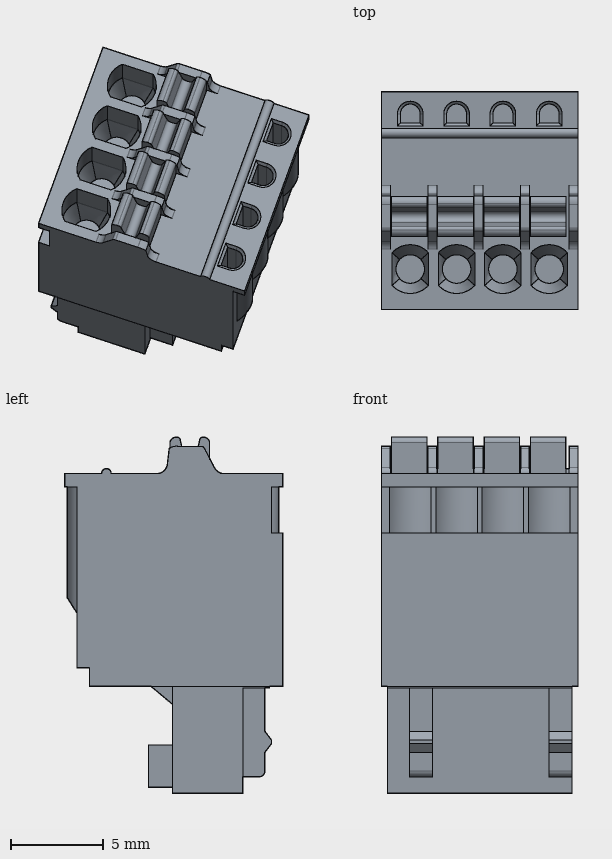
import cadquery as cq
import math


POLES = 4
PITCH = 2.5
POLE_X = [PITCH * (i - (POLES - 1) / 2) for i in range(POLES)]
RIB_SHIFT = -0.05

WIDTH = 10.6
DEPTH = 11.75
HEIGHT = 19.2
BODY_BOTTOM = 5.76
BODY_TOP = 17.25
FLANGE_BOTTOM = 16.51
BODY_BACK = 11.1
STEP_BACK = 10.43
STEP_TOP = 6.75

RECESS_BOTTOM = 14.04
RECESS_DEPTH = 0.61
BARREL_FRONT = 0.21
BARREL_CHORD = 2.23

REAR_BARREL_BACK = 11.62
REAR_BARREL_CHORD = 1.85
REAR_BARREL_BOTTOM = 9.72
REAR_BARREL_SLOPE_TOP = 10.55

WIRE_Y = 2.19
WIRE_MOUTH_RADIUS = 2.63 / 2
WIRE_MOUTH_WIDTH = 1.95
WIRE_END_RADIUS = 0.77
WIRE_CORNER_SINE = math.sqrt(1 - (WIRE_MOUTH_WIDTH / 2 / WIRE_MOUTH_RADIUS) ** 2)
WIRE_STRAIGHT = 2.3
WIRE_FUNNEL = 1.69

TEST_FLAT_Y = 9.9
TEST_CENTRE_Y = 10.55
TEST_RADIUS = 0.7
TEST_BEVEL = 0.15
TEST_DEPTH = 3.84

BEAD_Y = 9.5
BEAD_RADIUS = 0.52 / 2

RIB_WIDTH = 0.48
RIB_TOP = 18.7
RIB_TOP_FRONT = 4.4
RIB_TOP_BACK = 5.66
RIB_FOOT_FRONT = 3.28
RIB_FOOT_BACK = 6.7
RIB_FRONT_LOW = (3.69, 17.57)
RIB_FRONT_HIGH = (4.22, 18.59)
RIB_BACK_HIGH = (6.12, 18.59)
RIB_BACK_LOW = (6.22, 17.78)
RIB_FRONT_FOOT_MID = (3.5, 17.34)
RIB_FRONT_EDGE_MID = (4.28, 18.66)
RIB_BACK_EDGE_MID = (5.91, 18.68)
RIB_BACK_FOOT_MID = (6.35, 17.43)

LEVER_WIDTH = 1.92
LEVER_FRONT = 3.94
LEVER_BACK = 6.09
LEVER_SHOULDER = 18.91
FRONT_CREST = 4.28
REAR_CREST = 5.72
GROOVE_FRONT = 4.5
GROOVE_BACK = 5.51
GROOVE_RIM = 18.99
GROOVE_TAPER = 0.21
GROOVE_WALL_BOTTOM = 18.12
GROOVE_FLOOR = 17.85

PLUG_WIDTH = 9.95
PLUG_FRONT = 2.15
PLUG_BACK = 5.95
PLATE_FRONT = 0.71
PLATE_THICKNESS = 0.08
GUSSET_BACK = 7.1
GUSSET_BOTTOM = 4.8

KEY_WIDTH = 8.22
KEY_BACK = 7.24
KEY_BOTTOM = 0.33
KEY_TOP = 2.61

LEG_WIDTH = 1.23
LEG_LEFT_EDGES = [-3.78, PLUG_WIDTH / 2 - LEG_WIDTH]
LEG_FRONT = 0.96
LEG_BOTTOM = 0.88
LEG_ROUND = 0.33
BARB_FRONT = 0.6
BARB_TOP = 3.35
BARB_BOTTOM = 2.2
BARB_TIP_TOP = 2.86
BARB_TIP_BOTTOM = 2.69


def block(x0, x1, y0, y1, z0, z1):
    """Box between two opposite corners."""
    return cq.Workplane("XY").box(x1 - x0, y1 - y0, z1 - z0, centered=False).translate((x0, y0, z0))


def side_sketch(x):
    """Workplane in the YZ plane at the given X, extruding toward +X."""
    return cq.Workplane("YZ", origin=(x, 0, 0))


def housing():
    """Main body with its overhanging flange, front recess and stepped rear foot."""
    outline = [
        (0, BODY_BOTTOM),
        (0, RECESS_BOTTOM),
        (RECESS_DEPTH, RECESS_BOTTOM),
        (RECESS_DEPTH, FLANGE_BOTTOM),
        (0, FLANGE_BOTTOM),
        (0, BODY_TOP),
        (DEPTH, BODY_TOP),
        (DEPTH, FLANGE_BOTTOM),
        (BODY_BACK, FLANGE_BOTTOM),
        (BODY_BACK, STEP_TOP),
        (STEP_BACK, STEP_TOP),
        (STEP_BACK, BODY_BOTTOM),
    ]
    return side_sketch(-WIDTH / 2).polyline(outline).close().extrude(WIDTH)


def barrel(x, chord, wall_y, crest_y, z0, z1):
    """Upright circular segment standing out from a wall."""
    return (
        cq.Workplane("XY", origin=(x, 0, z0))
        .moveTo(-chord / 2, wall_y)
        .threePointArc((0, crest_y), (chord / 2, wall_y))
        .close()
        .extrude(z1 - z0)
    )


def front_barrel(x):
    """Barrel standing in the front recess."""
    return barrel(x, BARREL_CHORD, RECESS_DEPTH, BARREL_FRONT, RECESS_BOTTOM, FLANGE_BOTTOM)


def rear_barrel(x):
    """Rear barrel whose lower end is cut back on a slope."""
    full = barrel(x, REAR_BARREL_CHORD, BODY_BACK, REAR_BARREL_BACK, REAR_BARREL_BOTTOM, FLANGE_BOTTOM)
    slope = (
        side_sketch(x - PITCH / 2)
        .moveTo(BODY_BACK, REAR_BARREL_BOTTOM)
        .lineTo(REAR_BARREL_BACK, REAR_BARREL_SLOPE_TOP)
        .lineTo(REAR_BARREL_BACK, REAR_BARREL_BOTTOM)
        .close()
        .extrude(PITCH)
    )
    return full.cut(slope)


def wire_section(x, z, radius, half_width, round_sides):
    """Closed outline of a circle, or of a circle with straight sides at the half width."""
    half_height = WIRE_CORNER_SINE * radius
    outline = (
        cq.Workplane("XY", origin=(x, WIRE_Y, z))
        .moveTo(-half_width, half_height)
        .threePointArc((0, radius), (half_width, half_height))
    )
    if round_sides:
        outline = outline.threePointArc((radius, 0), (half_width, -half_height))
    else:
        outline = outline.lineTo(half_width, -half_height)
    outline = outline.threePointArc((0, -radius), (-half_width, -half_height))
    if round_sides:
        outline = outline.threePointArc((-radius, 0), (-half_width, half_height))
    return outline.close()


def wire_entry(x):
    """Straight flat-sided mouth that funnels down to a smaller round end."""
    mouth_half = WIRE_MOUTH_WIDTH / 2
    end_half = mouth_half * WIRE_END_RADIUS / WIRE_MOUTH_RADIUS
    funnel_top = BODY_TOP - WIRE_STRAIGHT
    mouth = wire_section(x, funnel_top, WIRE_MOUTH_RADIUS, mouth_half, False)
    end = wire_section(x, funnel_top - WIRE_FUNNEL, WIRE_END_RADIUS, end_half, True)
    funnel = cq.Workplane(cq.Solid.makeLoft([mouth.val(), end.val()], True))
    return mouth.extrude(WIRE_STRAIGHT).union(funnel)


def d_outline(x, z, inset):
    """D-shaped outline, round toward the rear, shrunk by the inset."""
    radius = TEST_RADIUS - inset
    flat_y = TEST_FLAT_Y + inset
    return (
        cq.Workplane("XY", origin=(x, 0, z))
        .moveTo(-radius, flat_y)
        .lineTo(-radius, TEST_CENTRE_Y)
        .threePointArc((0, TEST_CENTRE_Y + radius), (radius, TEST_CENTRE_Y))
        .lineTo(radius, flat_y)
        .close()
    )


def test_opening(x):
    """Straight D-shaped hole with a bevelled rim."""
    rim_top = d_outline(x, BODY_TOP, 0).val()
    rim_bottom = d_outline(x, BODY_TOP - TEST_BEVEL, TEST_BEVEL).val()
    hole = d_outline(x, BODY_TOP, TEST_BEVEL).extrude(-TEST_DEPTH)
    rim = cq.Solid.makeLoft([rim_top, rim_bottom], True)
    return hole.union(cq.Workplane(rim))


def bead():
    """Half-round bead running the full width of the top."""
    return (
        side_sketch(-WIDTH / 2)
        .moveTo(BEAD_Y - BEAD_RADIUS, BODY_TOP)
        .threePointArc((BEAD_Y, BODY_TOP + BEAD_RADIUS), (BEAD_Y + BEAD_RADIUS, BODY_TOP))
        .close()
        .extrude(WIDTH)
    )


def rib(x0, x1):
    """Rib with a sloped front, a steep rear and concave feet blending into the top."""
    return (
        side_sketch(x0)
        .moveTo(RIB_FOOT_FRONT, BODY_TOP)
        .threePointArc(RIB_FRONT_FOOT_MID, RIB_FRONT_LOW)
        .lineTo(*RIB_FRONT_HIGH)
        .threePointArc(RIB_FRONT_EDGE_MID, (RIB_TOP_FRONT, RIB_TOP))
        .lineTo(RIB_TOP_BACK, RIB_TOP)
        .threePointArc(RIB_BACK_EDGE_MID, RIB_BACK_HIGH)
        .lineTo(*RIB_BACK_LOW)
        .threePointArc(RIB_BACK_FOOT_MID, (RIB_FOOT_BACK, BODY_TOP))
        .close()
        .extrude(x1 - x0)
    )


def ribs():
    """Two end ribs flush with the sides and the inner ribs between the poles."""
    half = WIDTH / 2
    row = rib(-half, -half + RIB_WIDTH).union(rib(half - RIB_WIDTH, half))
    for x in POLE_X[:-1]:
        centre = x + PITCH / 2 + RIB_SHIFT
        row = row.union(rib(centre - RIB_WIDTH / 2, centre + RIB_WIDTH / 2))
    return row


def crest_mid(crest_y, edge_y, edge_z):
    """Midpoint of the arc that is level at the lever top and ends at a lower edge."""
    reach = abs(edge_y - crest_y)
    drop = HEIGHT - edge_z
    radius = (reach**2 + drop**2) / (2 * drop)
    half_angle = math.atan2(drop, reach)
    side = math.copysign(1, edge_y - crest_y)
    return (crest_y + side * radius * math.sin(half_angle), HEIGHT - radius * (1 - math.cos(half_angle)))


def lever(x):
    """Lever with two rounded crests and a tapered, round-bottomed groove between them."""
    groove_centre = (GROOVE_FRONT + GROOVE_BACK) / 2
    floor = (groove_centre, GROOVE_FLOOR)
    return (
        side_sketch(x + RIB_SHIFT - LEVER_WIDTH / 2)
        .moveTo(LEVER_FRONT, BODY_TOP)
        .lineTo(LEVER_FRONT, LEVER_SHOULDER)
        .threePointArc(crest_mid(FRONT_CREST, LEVER_FRONT, LEVER_SHOULDER), (FRONT_CREST, HEIGHT))
        .threePointArc(crest_mid(FRONT_CREST, GROOVE_FRONT, GROOVE_RIM), (GROOVE_FRONT, GROOVE_RIM))
        .lineTo(GROOVE_FRONT + GROOVE_TAPER, GROOVE_WALL_BOTTOM)
        .threePointArc(floor, (GROOVE_BACK - GROOVE_TAPER, GROOVE_WALL_BOTTOM))
        .lineTo(GROOVE_BACK, GROOVE_RIM)
        .threePointArc(crest_mid(REAR_CREST, GROOVE_BACK, GROOVE_RIM), (REAR_CREST, HEIGHT))
        .threePointArc(crest_mid(REAR_CREST, LEVER_BACK, LEVER_SHOULDER), (LEVER_BACK, LEVER_SHOULDER))
        .lineTo(LEVER_BACK, BODY_TOP)
        .close()
        .extrude(LEVER_WIDTH)
    )


def plug():
    """Plug shank with its thin seating plate, rear gusset and coding bar."""
    half = PLUG_WIDTH / 2
    shank = block(-half, half, PLUG_FRONT, PLUG_BACK, 0, BODY_BOTTOM)
    plate = block(-half, half, PLATE_FRONT, PLUG_FRONT, BODY_BOTTOM - PLATE_THICKNESS, BODY_BOTTOM)
    key = block(-KEY_WIDTH / 2, KEY_WIDTH / 2, PLUG_BACK, KEY_BACK, KEY_BOTTOM, KEY_TOP)
    gusset = (
        side_sketch(-KEY_WIDTH / 2)
        .moveTo(PLUG_BACK, BODY_BOTTOM)
        .lineTo(GUSSET_BACK, BODY_BOTTOM)
        .lineTo(PLUG_BACK, GUSSET_BOTTOM)
        .close()
        .extrude(KEY_WIDTH)
    )
    return shank.union(plate).union(key).union(gusset)


def latch_leg(left_edge):
    """Latch leg with a blunt barb and a rounded lower corner."""
    corner = LEG_ROUND * (1 - math.sqrt(0.5))
    return (
        side_sketch(left_edge)
        .moveTo(PLUG_FRONT, BODY_BOTTOM)
        .lineTo(LEG_FRONT, BODY_BOTTOM)
        .lineTo(LEG_FRONT, BARB_TOP)
        .lineTo(BARB_FRONT, BARB_TIP_TOP)
        .lineTo(BARB_FRONT, BARB_TIP_BOTTOM)
        .lineTo(LEG_FRONT, BARB_BOTTOM)
        .lineTo(LEG_FRONT, LEG_BOTTOM + LEG_ROUND)
        .threePointArc((LEG_FRONT + corner, LEG_BOTTOM + corner), (LEG_FRONT + LEG_ROUND, LEG_BOTTOM))
        .lineTo(PLUG_FRONT, LEG_BOTTOM)
        .close()
        .extrude(LEG_WIDTH)
    )


result = housing().union(plug()).union(bead()).union(ribs())
for left_edge in LEG_LEFT_EDGES:
    result = result.union(latch_leg(left_edge))
for pole_x in POLE_X:
    result = result.union(front_barrel(pole_x)).union(rear_barrel(pole_x)).union(lever(pole_x))
for pole_x in POLE_X:
    result = result.cut(wire_entry(pole_x)).cut(test_opening(pole_x))